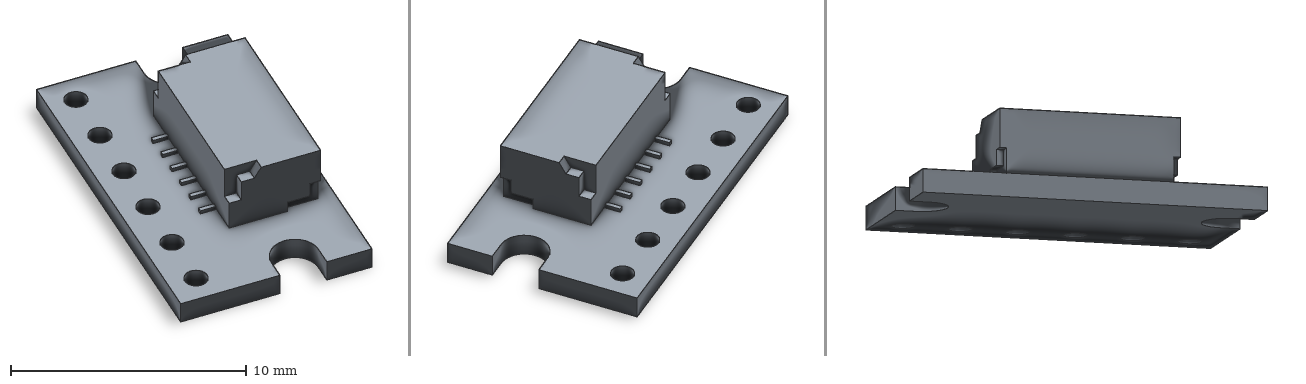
import cadquery as cq

BOARD_LENGTH = 15.24
BOARD_WIDTH = 8.88
BOARD_THICKNESS = 1.02

HOLE_COUNT = 6
HOLE_PITCH = BOARD_LENGTH / HOLE_COUNT
HOLE_DIAMETER = 1.02
HOLE_EDGE_DISTANCE = HOLE_PITCH / 2

SLOT_WIDTH = 2.18
SLOT_DEPTH = 1.98
SLOT_Y = 5.7

OVERALL_HEIGHT = 3.98
HOUSING_LENGTH = 8.0
HOUSING_WIDTH = 4.25
HOUSING_FRONT_Y = 3.84
HOUSING_GAP = 0.06
HOUSING_BACK_Y = HOUSING_FRONT_Y + HOUSING_WIDTH
HOUSING_BOTTOM_Z = BOARD_THICKNESS + HOUSING_GAP

NOTCH_DEPTH = 0.5
NOTCH_TOP_REACH = 1.5
NOTCH_SHELF_REACH = 1.17
NOTCH_SHELF_DROP = 0.5
NOTCH_STEP_REACH = 0.56
NOTCH_STEP_DROP = 1.51

FOOT_RECESS = 0.3
FOOT_THICKNESS = 0.3
FOOT_HEIGHT = 1.25
FOOT_UPPER_REACH = 0.5
FOOT_LOWER_HEIGHT = 0.56
FOOT_LOWER_REACH = 1.54

PIN_COUNT = 6
PIN_ROW_SPAN = 5.0
PIN_PITCH = PIN_ROW_SPAN / (PIN_COUNT - 1)
PIN_WIDTH = 0.2
PIN_HEIGHT = 0.17
PIN_REACH = 0.72
PIN_EMBED = 2.75


def centred_row(count, pitch):
    """X positions of evenly pitched items centred on X = 0."""
    return [(i - (count - 1) / 2) * pitch for i in range(count)]


def side_prism(profile, x_start, length):
    """Extrude a closed (Y, Z) profile along +X from x_start."""
    return cq.Workplane("YZ", origin=(x_start, 0, 0)).polyline(profile).close().extrude(length)


def on_both_ends(solid):
    """Join a solid with its mirror image across the plane X = 0."""
    return solid.union(solid.mirror("YZ"))


def make_board():
    board = cq.Workplane("XY").box(
        BOARD_LENGTH, BOARD_WIDTH, BOARD_THICKNESS, centered=(True, False, False)
    )
    hole_centres = [(x, HOLE_EDGE_DISTANCE) for x in centred_row(HOLE_COUNT, HOLE_PITCH)]
    holes = (
        cq.Workplane("XY").pushPoints(hole_centres).circle(HOLE_DIAMETER / 2).extrude(BOARD_THICKNESS)
    )
    slots = (
        cq.Workplane("XY")
        .pushPoints([(-BOARD_LENGTH / 2, SLOT_Y), (BOARD_LENGTH / 2, SLOT_Y)])
        .slot2D(2 * SLOT_DEPTH, SLOT_WIDTH)
        .extrude(BOARD_THICKNESS)
    )
    return board.cut(holes).cut(slots)


def front_notches():
    front = HOUSING_FRONT_Y
    top = OVERALL_HEIGHT
    profile = [
        (front, top),
        (front + NOTCH_TOP_REACH, top),
        (front + NOTCH_SHELF_REACH, top - NOTCH_SHELF_DROP),
        (front + NOTCH_STEP_REACH, top - NOTCH_SHELF_DROP),
        (front + NOTCH_STEP_REACH, top - NOTCH_STEP_DROP),
        (front, top - NOTCH_STEP_DROP),
    ]
    return on_both_ends(side_prism(profile, -HOUSING_LENGTH / 2, NOTCH_DEPTH))


def rear_foot_profile():
    back = HOUSING_BACK_Y
    base = BOARD_THICKNESS
    return [
        (back, base),
        (back, base + FOOT_HEIGHT),
        (back - FOOT_UPPER_REACH, base + FOOT_HEIGHT),
        (back - FOOT_UPPER_REACH, base + FOOT_LOWER_HEIGHT),
        (back - FOOT_LOWER_REACH, base + FOOT_LOWER_HEIGHT),
        (back - FOOT_LOWER_REACH, base),
    ]


def make_housing():
    block = cq.Workplane("XY", origin=(0, HOUSING_FRONT_Y, HOUSING_BOTTOM_Z)).box(
        HOUSING_LENGTH,
        HOUSING_WIDTH,
        OVERALL_HEIGHT - HOUSING_BOTTOM_Z,
        centered=(True, False, False),
    )
    profile = rear_foot_profile()
    recesses = on_both_ends(side_prism(profile, -HOUSING_LENGTH / 2, FOOT_RECESS))
    feet = on_both_ends(side_prism(profile, -HOUSING_LENGTH / 2 + FOOT_RECESS, FOOT_THICKNESS))
    return block.cut(front_notches()).cut(recesses).union(feet)


def make_pins():
    pin_centres = [(x, HOUSING_FRONT_Y) for x in centred_row(PIN_COUNT, PIN_PITCH)]
    return (
        cq.Workplane("XY", origin=(0, -PIN_REACH, BOARD_THICKNESS))
        .pushPoints(pin_centres)
        .box(PIN_WIDTH, PIN_REACH + PIN_EMBED, PIN_HEIGHT, centered=(True, False, False))
    )


result = make_board().union(make_housing()).union(make_pins())